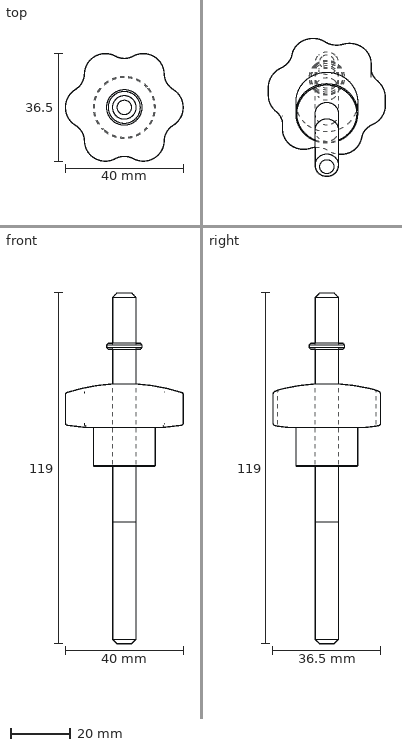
import cadquery as cq
import math

total_length = 119.0
rod_diameter = 8.0
rod_tip_chamfer = 1.5
rod_joint_z = 41.4

lobe_count = 6
knob_radius = 20.0
lobe_radius = 7.1
valley_radius = 6.3
lobe_pitch_radius = knob_radius - lobe_radius
knob_crown_z = 88.3
knob_rim_top_z = 85.0
knob_rim_bottom_z = 74.1
knob_base_z = 73.3
knob_base_radius = 12.7
knob_edge_radius = 0.8
envelope_margin = 1.2

hub_diameter = 21.0
hub_bottom_z = 60.1
hub_edge_chamfer = 0.4

washer_diameter = 12.0
washer_bottom_z = 99.8
washer_thickness = 2.1
washer_edge_chamfer = 0.6


def polar(radius, angle):
    """X and Y of the point at this radius and angle from the axis."""
    return (radius * math.cos(angle), radius * math.sin(angle))


def make_rod(bottom_z, top_z, chamfered_end):
    """Plain round rod with a conical tip at one end."""
    rod = cq.Workplane("XY").workplane(offset=bottom_z).circle(rod_diameter / 2).extrude(top_z - bottom_z)
    return rod.faces(chamfered_end).chamfer(rod_tip_chamfer)


def make_rod_bore():
    """Full-height cylinder that opens a hole for the rod."""
    return cq.Workplane("XY").circle(rod_diameter / 2).extrude(total_length)


def make_star_outline():
    """Closed outline of round lobes joined by tangent round valleys."""
    half_pitch = math.pi / lobe_count
    centre_spacing = lobe_radius + valley_radius
    valley_centre_radius = lobe_pitch_radius * math.cos(half_pitch) + math.sqrt(
        centre_spacing**2 - (lobe_pitch_radius * math.sin(half_pitch)) ** 2
    )
    valley_floor_radius = valley_centre_radius - valley_radius

    share = lobe_radius / centre_spacing
    valley_x, valley_y = polar(valley_centre_radius, half_pitch)
    tangent_x = lobe_pitch_radius + share * (valley_x - lobe_pitch_radius)
    tangent_y = share * valley_y
    tangent_radius = math.hypot(tangent_x, tangent_y)
    tangent_angle = math.atan2(tangent_y, tangent_x)

    outline = cq.Workplane("XY").moveTo(*polar(tangent_radius, -tangent_angle))
    for index in range(lobe_count):
        lobe_angle = 2 * half_pitch * index
        outline = outline.threePointArc(
            polar(knob_radius, lobe_angle),
            polar(tangent_radius, lobe_angle + tangent_angle),
        ).threePointArc(
            polar(valley_floor_radius, lobe_angle + half_pitch),
            polar(tangent_radius, lobe_angle + 2 * half_pitch - tangent_angle),
        )
    return outline.close()


def make_head_envelope():
    """Round body with a domed top and a shallow cone below, which trims the star prism."""
    crown_rise = knob_crown_z - knob_rim_top_z
    crown_radius = (knob_radius**2 + crown_rise**2) / (2 * crown_rise)
    base_slope = (knob_rim_bottom_z - knob_base_z) / (knob_radius - knob_base_radius)
    outer_radius = knob_radius + envelope_margin

    def dome_z(radius):
        return knob_crown_z - crown_radius + math.sqrt(crown_radius**2 - radius**2)

    return (
        cq.Workplane("XZ")
        .moveTo(0, knob_base_z)
        .lineTo(knob_base_radius, knob_base_z)
        .lineTo(outer_radius, knob_rim_bottom_z + base_slope * envelope_margin)
        .lineTo(outer_radius, dome_z(outer_radius))
        .threePointArc((outer_radius / 2, dome_z(outer_radius / 2)), (0, knob_crown_z))
        .close()
        .revolve(360, (0, 0, 0), (0, 1, 0))
    )


def make_knob():
    """Star head and hub in one piece, bored through for the rod."""
    prism = make_star_outline().extrude(knob_crown_z)
    head = prism.intersect(make_head_envelope())
    head = head.edges("%BSPLINE").fillet(knob_edge_radius)
    hub = (
        cq.Workplane("XY")
        .workplane(offset=hub_bottom_z)
        .circle(hub_diameter / 2)
        .extrude(knob_base_z - hub_bottom_z)
        .faces("<Z")
        .chamfer(hub_edge_chamfer)
    )
    return head.union(hub).cut(make_rod_bore())


def make_washer():
    """Flat ring, chamfered on both outer edges, that fits the upper rod."""
    disc = (
        cq.Workplane("XY")
        .workplane(offset=washer_bottom_z)
        .circle(washer_diameter / 2)
        .extrude(washer_thickness)
        .edges()
        .chamfer(washer_edge_chamfer)
    )
    return disc.cut(make_rod_bore())


lower_rod = make_rod(0, rod_joint_z, "<Z")
upper_rod = make_rod(rod_joint_z, total_length, ">Z")
knob = make_knob()
washer = make_washer()

result = cq.Compound.makeCompound([lower_rod.val(), upper_rod.val(), knob.val(), washer.val()])